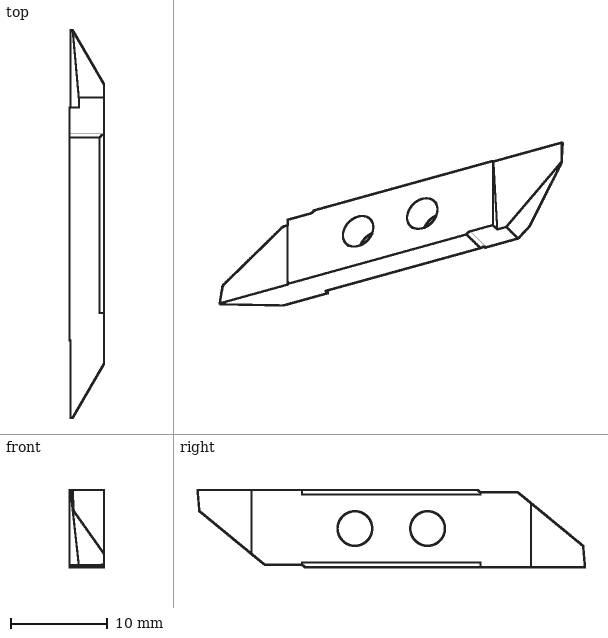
import cadquery as cq
import math

thickness = 3.6
length = 40.0
height = 8.0
half_length = length / 2
half_height = height / 2

hole_diameter = 3.55
hole_spacing = 7.5

step_depth = 0.25
step_radius = 0.5
step_start = 8.92
step_run = math.sqrt(step_depth * (2 * step_radius - step_depth))

slope_start = 13.05
tip_height = 2.2
tip_draft = 5.0
tip_setback = tip_height * math.tan(math.radians(tip_draft))

taper_start = 14.4
tip_width = 0.35

relief_start = 12.0
relief_edge_depth = 0.12
relief_tilt = 6.3
relief_foot_depth = relief_edge_depth + height * math.tan(math.radians(relief_tilt))

bevel_size = 0.5
bevel_half_length = 9.2


def half_turn(shape):
    """Rotate a shape half a turn about the X axis, onto the other end of the bar."""
    return shape.rotate((0, 0, 0), (1, 0, 0), 180)


def bar():
    """Plain half bar from the middle to the -Y tip, outlined in Y-Z, plus its half turn."""
    step_floor = -half_height + step_depth
    arc_angle = math.acos(1 - step_depth / step_radius) / 2
    arc_middle = (
        -step_start - step_run + step_radius * math.sin(arc_angle),
        step_floor - step_radius * (1 - math.cos(arc_angle)),
    )
    half = (
        cq.Workplane("YZ")
        .moveTo(0, half_height)
        .lineTo(-half_length, half_height)
        .lineTo(-half_length + tip_setback, half_height - tip_height)
        .lineTo(-slope_start, step_floor)
        .lineTo(-step_start - step_run, step_floor)
        .threePointArc(arc_middle, (-step_start, -half_height))
        .lineTo(0, -half_height)
        .close()
        .extrude(thickness)
    )
    return half.union(half_turn(half))


def taper_cutter():
    """Wedge behind the -Y tip that narrows it to the tip width."""
    return (
        cq.Workplane("XY")
        .workplane(offset=-half_height)
        .moveTo(tip_width, -half_length)
        .lineTo(thickness, -half_length)
        .lineTo(thickness, -taper_start)
        .close()
        .extrude(height)
    )


def relief_cutter():
    """Tilted slice off the flat face beside the -Y tip."""
    return (
        cq.Workplane("XZ", origin=(0, -relief_start, 0))
        .moveTo(0, half_height)
        .lineTo(relief_edge_depth, half_height)
        .lineTo(relief_foot_depth, -half_height)
        .lineTo(0, -half_height)
        .close()
        .extrude(half_length - relief_start)
    )


def bevel_cutter():
    """Triangular strip along the upper back edge."""
    return (
        cq.Workplane("XZ", origin=(0, bevel_half_length, 0))
        .moveTo(thickness, half_height)
        .lineTo(thickness - bevel_size, half_height)
        .lineTo(thickness, half_height - bevel_size)
        .close()
        .extrude(2 * bevel_half_length)
    )


def mounting_holes():
    """Pair of through-hole cylinders along X."""
    return (
        cq.Workplane("YZ")
        .pushPoints([(-hole_spacing / 2, 0), (hole_spacing / 2, 0)])
        .circle(hole_diameter / 2)
        .extrude(thickness)
    )


result = bar()
for cutter in (taper_cutter(), relief_cutter(), bevel_cutter()):
    result = result.cut(cutter).cut(half_turn(cutter))
result = result.cut(mounting_holes())